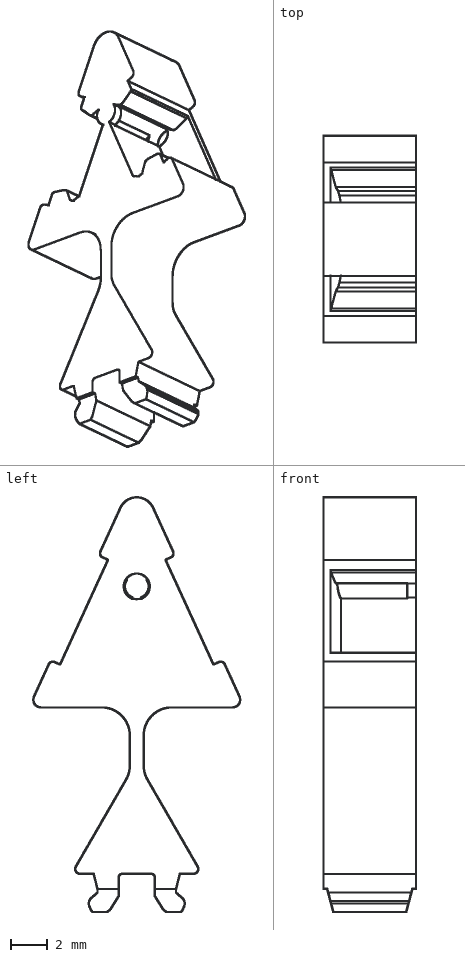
import cadquery as cq
import math

HEIGHT = 22.65
THICKNESS = 5.07
BRIM_WIDTH = 11.3
BRIM_HALF_WIDTH = BRIM_WIDTH / 2

FLANK_ANGLE = math.radians(65.4)
BRIM_Z = 11.17
BRIM_RADIUS = 0.43
BAND_INSET = 0.57
BAND_TOP_Z = 19.23
BAND_BOTTOM_Z = 13.52
STEP_RADIUS = 0.25

NECK_HALF_WIDTH = 0.39
NECK_BOTTOM_Z = 7.59
NECK_RADIUS = 1.52
SKIRT_ANGLE = math.radians(60)
SKIRT_Z = 2.08
SKIRT_RADIUS = 0.27

FOOT_TOP_Z = 1.27
FOOT_INSET = 0.2
DRAFT = math.tan(math.radians(15))
LEG_INNER_Y = 0.97
LEG_OUTER_Y = 2.35
ANKLE_Y = 2.15
LEG_RADIUS = 0.18

RECESS_BOTTOM_Z = 14.13
RECESS_TOP_Z = 18.66
RECESS_WALL = 0.4
RECESS_DEPTH = 2.08
MOUTH_CLEARANCE = 0.23

HOLE_Z = 17.78
HOLE_RADIUS = 0.7
PEG_RADIUS = 0.65
PEG_LENGTH = 0.5

SIDES = (-1, 1)
SIN_FLANK = math.sin(FLANK_ANGLE)
COS_FLANK = math.cos(FLANK_ANGLE)
TAN_FLANK = math.tan(FLANK_ANGLE)

BRIM_TIP_Y = BRIM_HALF_WIDTH + BRIM_RADIUS / math.tan(FLANK_ANGLE / 2) - BRIM_RADIUS
APEX_Z = BRIM_Z + BRIM_TIP_Y * TAN_FLANK
CROWN_RADIUS = (APEX_Z - HEIGHT) * COS_FLANK / (1 - COS_FLANK)
SKIRT_TIP_Y = NECK_HALF_WIDTH + (NECK_BOTTOM_Z - SKIRT_Z) / math.tan(SKIRT_ANGLE)


def band_y(z):
    """Half width of the body at height z along the plain band."""
    return (APEX_Z - z) / TAN_FLANK - BAND_INSET / SIN_FLANK


def step_corner(z):
    """Outer corner of the step that leaves the band square to the flank at height z."""
    return (band_y(z) + BAND_INSET * SIN_FLANK, z + BAND_INSET * COS_FLANK)


def prism(points):
    """Closed outline of (y, z) points carried through the full thickness along X."""
    return cq.Workplane("YZ").polyline(points).close().extrude(THICKNESS)


def round_corner(solid, corner, radius):
    """Round the edge along X at the given corner and at its mirror image."""
    y, z = corner
    for side in SIDES:
        edge = cq.selectors.NearestToPointSelector((THICKNESS / 2, side * y, z))
        solid = solid.edges("|X").edges(edge).fillet(radius)
    return solid


def make_body():
    head_step = step_corner(BAND_TOP_Z)
    brim_step = step_corner(BAND_BOTTOM_Z)
    brim_tip = (BRIM_TIP_Y, BRIM_Z)
    neck_top = (NECK_HALF_WIDTH, BRIM_Z)
    neck_bottom = (NECK_HALF_WIDTH, NECK_BOTTOM_Z)
    skirt_tip = (SKIRT_TIP_Y, SKIRT_Z)
    half = [
        head_step,
        (band_y(BAND_TOP_Z), BAND_TOP_Z),
        (band_y(BAND_BOTTOM_Z), BAND_BOTTOM_Z),
        brim_step,
        brim_tip,
        neck_top,
        neck_bottom,
        skirt_tip,
    ]
    other_half = [(-y, z) for y, z in reversed(half)]
    body = prism([(0, APEX_Z)] + half + other_half)

    apex = cq.selectors.NearestToPointSelector((THICKNESS / 2, 0, APEX_Z))
    body = body.edges("|X").edges(apex).fillet(CROWN_RADIUS)
    body = round_corner(body, head_step, STEP_RADIUS)
    body = round_corner(body, brim_step, STEP_RADIUS)
    body = round_corner(body, brim_tip, BRIM_RADIUS)
    body = round_corner(body, neck_top, NECK_RADIUS)
    body = round_corner(body, neck_bottom, NECK_RADIUS)
    return round_corner(body, skirt_tip, SKIRT_RADIUS)


def make_leg():
    """Leg on the +Y side: full thickness at the top, with a tapered foot below."""
    shank = (
        cq.Workplane("YZ")
        .moveTo(LEG_INNER_Y - LEG_RADIUS, SKIRT_Z)
        .radiusArc((LEG_INNER_Y, SKIRT_Z - LEG_RADIUS), LEG_RADIUS)
        .lineTo(LEG_INNER_Y, FOOT_TOP_Z)
        .lineTo(ANKLE_Y, FOOT_TOP_Z)
        .lineTo(LEG_OUTER_Y, SKIRT_Z)
        .close()
        .extrude(THICKNESS)
    )
    foot = prism([
        (LEG_INNER_Y, FOOT_TOP_Z),
        (LEG_INNER_Y, 0.88),
        (1.43, 0.15),
        (1.6, 0),
        (2.42, 0),
        (2.51, 0.14),
        (2.6, 0.35),
        (2.63, 0.48),
        (2.6, 0.61),
        (2.51, 0.75),
        (ANKLE_Y, 1.06),
        (ANKLE_Y, FOOT_TOP_Z),
    ])
    sole_inset = FOOT_INSET + FOOT_TOP_Z * DRAFT
    taper = (
        cq.Workplane("XZ")
        .polyline([
            (FOOT_INSET, FOOT_TOP_Z),
            (THICKNESS - FOOT_INSET, FOOT_TOP_Z),
            (THICKNESS - sole_inset, 0),
            (sole_inset, 0),
        ])
        .close()
        .extrude(BRIM_HALF_WIDTH, both=True)
    )
    return shank.union(foot.intersect(taper))


def make_recess():
    """Undercut recess of the -Y flank, shaped upright first and then leaned onto the flank."""
    half_length = (RECESS_TOP_Z - RECESS_BOTTOM_Z) / (2 * SIN_FLANK)
    end_wall = [
        (-MOUTH_CLEARANCE, 0),
        (0, 0),
        (0.102, 0.102),
        (0.82, 0.32),
        (1.02, 0.32),
        (1.5, -0.18),
        (1.77, -0.18),
        (RECESS_DEPTH, 0.14),
    ]
    lower = [(depth, inset - half_length) for depth, inset in end_wall]
    upper = [(depth, half_length - inset) for depth, inset in reversed(end_wall)]
    profile = prism(lower + upper)

    room = (
        cq.Workplane("XY")
        .polyline([
            (RECESS_WALL - MOUTH_CLEARANCE * DRAFT, -MOUTH_CLEARANCE),
            (THICKNESS, -MOUTH_CLEARANCE),
            (THICKNESS, RECESS_DEPTH),
            (RECESS_WALL + RECESS_DEPTH * DRAFT, RECESS_DEPTH),
        ])
        .close()
        .extrude(HEIGHT, both=True)
    )
    middle_z = (RECESS_TOP_Z + RECESS_BOTTOM_Z) / 2
    lean = 90 - math.degrees(FLANK_ANGLE)
    return (
        profile.intersect(room)
        .rotate((0, 0, 0), (1, 0, 0), -lean)
        .translate((0, -band_y(middle_z), middle_z))
    )


def make_rod(radius, start_x, end_x):
    """Round bar along X on the hole axis."""
    return (
        cq.Workplane("YZ", origin=(start_x, 0, HOLE_Z))
        .circle(radius)
        .extrude(end_x - start_x)
    )


leg = make_leg()
recess = make_recess()
peg_start = THICKNESS - PEG_LENGTH

result = (
    make_body()
    .union(leg)
    .union(leg.mirror("XZ"))
    .cut(recess)
    .cut(recess.mirror("XZ"))
    .cut(make_rod(HOLE_RADIUS, 0, peg_start))
    .union(make_rod(PEG_RADIUS, peg_start, THICKNESS))
    .solids()
)